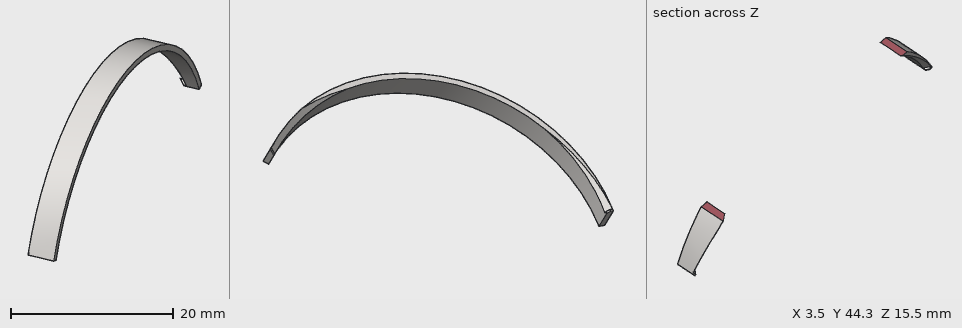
import cadquery as cq
import math

width = 3.5
span = 44.3
outer_radius = 23.85
thickness = 0.8
front_reach = 22.25
back_reach = span - front_reach

front_bevel_drop = 1.8
front_bevel_radius = 24.55
back_bevel_drop = 4.45
back_bevel_radius = 26.9
bevel_height = 3.55

lip_length = 0.25
lip_height = 0.4

inner_radius = outer_radius - thickness
left_side = -width / 2
front_angle = -math.asin(front_reach / outer_radius)
back_angle = math.asin(back_reach / outer_radius)


def on_circle(radius, angle):
    """Point (y, z) on a circle about the bend axis, with the angle taken from +Z toward +Y."""
    return (radius * math.sin(angle), radius * math.cos(angle))


def curved_strip():
    """Arched band with radial end faces, extruded across its width."""
    return (
        cq.Workplane("YZ")
        .workplane(offset=left_side)
        .moveTo(*on_circle(outer_radius, front_angle))
        .threePointArc((0, outer_radius), on_circle(outer_radius, back_angle))
        .lineTo(*on_circle(inner_radius, back_angle))
        .threePointArc((0, inner_radius), on_circle(inner_radius, front_angle))
        .close()
        .extrude(width)
    )


def bevel_cone(radius, drop):
    """45 degree cone along X with its base on the -X side."""
    base_center = cq.Vector(left_side, 0, -drop)
    cone = cq.Solid.makeCone(radius, radius - bevel_height, bevel_height, base_center, cq.Vector(1, 0, 0))
    return cq.Workplane(obj=cone)


def cut_range(end_angle, margin):
    """Block from the crown plane to a radial plane that stops a margin short of an end face."""
    reach = 2 * outer_radius
    side = math.copysign(1, end_angle)
    stop_angle = end_angle - side * margin / outer_radius
    return (
        cq.Workplane("YZ")
        .workplane(offset=left_side)
        .polyline([(0, 0), (0, reach), on_circle(reach, stop_angle)])
        .close()
        .extrude(width)
    )


def bevel_cutter(radius, drop, end_angle):
    """Full bevel that stops at the lip, joined to the shallower one that runs past the end."""
    main_cut = bevel_cone(radius, drop).intersect(cut_range(end_angle, lip_length))
    lip_cut = bevel_cone(radius - lip_height, drop).intersect(cut_range(end_angle, -lip_length))
    return main_cut.union(lip_cut)


front_bevel = bevel_cutter(front_bevel_radius, front_bevel_drop, front_angle)
back_bevel = bevel_cutter(back_bevel_radius, back_bevel_drop, back_angle)
result = curved_strip().cut(front_bevel).cut(back_bevel)